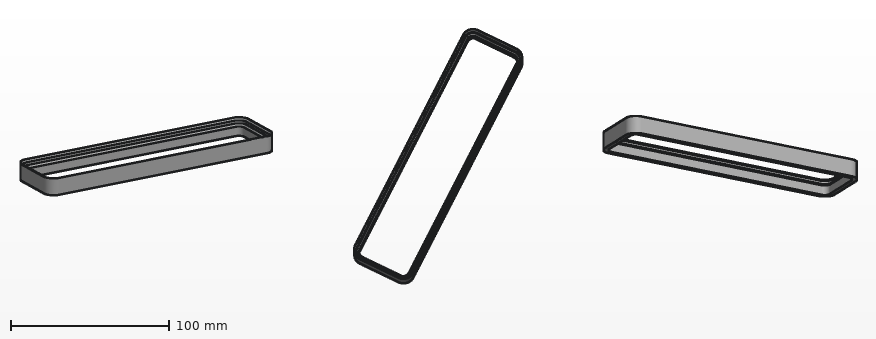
import cadquery as cq
import math

WIDTH = 41.0
LENGTH = 167.0
HEIGHT = 11.5
CORNER_RADIUS = 7.0

BEVEL_WIDTH = 1.59
BEVEL_DROP = 1.59
RISER_HEIGHT = 2.0
BEVEL_ANGLE = math.degrees(math.atan2(BEVEL_WIDTH, BEVEL_DROP))

RISER_TOP = HEIGHT - BEVEL_DROP
RISER_BOTTOM = RISER_TOP - RISER_HEIGHT


def rounded_block(inset, bottom, top):
    """Upright block whose outline lies a constant inset inside the ring's outer outline."""
    return (
        cq.Workplane("XY")
        .workplane(offset=bottom)
        .rect(WIDTH - 2 * inset, LENGTH - 2 * inset)
        .extrude(top - bottom)
        .edges("|Z")
        .fillet(CORNER_RADIUS - inset)
    )


def bevel_cutter(inset, top):
    """Block that narrows downward from the given inset by one bevel width."""
    outline = rounded_block(inset, top - BEVEL_DROP, top).faces(">Z").wires()
    return outline.toPending().extrude(-BEVEL_DROP, combine=False, taper=BEVEL_ANGLE)


ring = rounded_block(0, 0, HEIGHT)
ring = ring.cut(rounded_block(2 * BEVEL_WIDTH, 0, HEIGHT))
ring = ring.cut(rounded_block(BEVEL_WIDTH, RISER_BOTTOM, HEIGHT))
ring = ring.cut(bevel_cutter(0, HEIGHT))
ring = ring.cut(bevel_cutter(BEVEL_WIDTH, RISER_BOTTOM))

result = ring